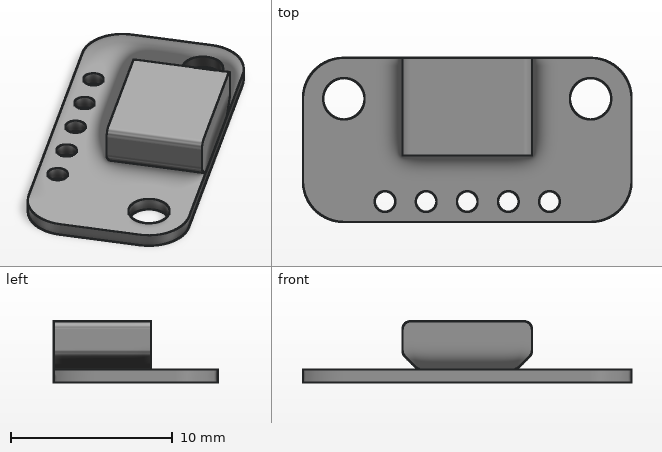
import cadquery as cq

board_length = 20.32
board_width = 10.15
board_thickness = 0.81
corner_radius = board_width / 4
board_back = board_width / 2

mount_diameter = 2.55
mount_x = board_length / 2 - corner_radius
mount_y = board_back - corner_radius

pin_count = 5
pin_pitch = 2.55
pin_diameter = 1.25
pin_y = -board_width / 2 + pin_pitch / 2

overall_height = 3.8
connector_width = 8.0
connector_depth = 6.04
connector_height = overall_height - board_thickness
flare = 0.95
edge_radius = 0.5


def make_board():
    """Rounded plate with its underside on Z = 0 and all holes through."""
    plate = (
        cq.Workplane("XY")
        .rect(board_length, board_width)
        .extrude(board_thickness)
        .edges("|Z")
        .fillet(corner_radius)
        .faces(">Z")
        .workplane(origin=(0, 0, board_thickness))
    )
    mount_points = [(-mount_x, mount_y), (mount_x, mount_y)]
    first_pin_x = -pin_pitch * (pin_count - 1) / 2
    pin_points = [(first_pin_x + i * pin_pitch, pin_y) for i in range(pin_count)]
    drilled = plate.pushPoints(mount_points).hole(mount_diameter)
    return drilled.pushPoints(pin_points).hole(pin_diameter)


def make_connector():
    """Block that flares out from a narrow foot, with all six long edges rounded."""
    half_width = connector_width / 2
    half_foot = half_width - flare
    block = (
        cq.Workplane("XZ", origin=(0, board_back, board_thickness))
        .moveTo(-half_foot, 0)
        .lineTo(half_foot, 0)
        .lineTo(half_width, flare)
        .lineTo(half_width, connector_height)
        .lineTo(-half_width, connector_height)
        .lineTo(-half_width, flare)
        .close()
        .extrude(connector_depth)
    )
    return block.edges("|Y").fillet(edge_radius)


board = make_board()
connector = make_connector()
result = cq.Compound.makeCompound([board.val(), connector.val()])